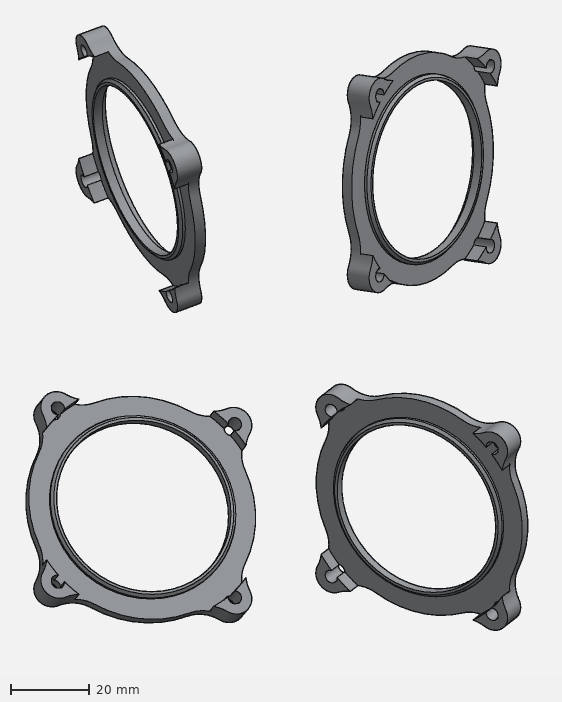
import cadquery as cq
import math

rim_radius = 29.95
bore_diameter = 46.0
plate_thickness = 3.0

total_depth = 7.0
hole_offset = 23.35
hole_diameter = 3.5
lug_radius = 4.5
blend_radius = 9.9
pad_inner_radius = 31.75

lip_diameter = 49.0
lip_height = 1.5
lip_chamfer = 0.75

recess_diameter = 50.0
recess_depth = 2.0

lug_distance = hole_offset * math.sqrt(2)
lug_angles = (45, 135, 225, 315)


def polar(radius, angle, center=(0, 0)):
    """Point at a radius and an angle in degrees around a center."""
    a = math.radians(angle)
    return (center[0] + radius * math.cos(a), center[1] + radius * math.sin(a))


def cylinder(diameter, height):
    return cq.Workplane("XZ").circle(diameter / 2).extrude(height)


def outline():
    """Rim arcs joined to the round lugs by tangent concave blends."""
    blend_distance = rim_radius + blend_radius
    lug_to_blend = lug_radius + blend_radius
    spread = math.degrees(math.acos(
        (blend_distance**2 + lug_distance**2 - lug_to_blend**2)
        / (2 * blend_distance * lug_distance)
    ))
    wire = cq.Workplane("XZ").moveTo(*polar(rim_radius, lug_angles[0] - spread))
    for angle in lug_angles:
        lug = polar(lug_distance, angle)
        before = polar(blend_distance, angle - spread)
        after = polar(blend_distance, angle + spread)
        toward_blend = math.degrees(math.atan2(after[1] - lug[1], after[0] - lug[0]))
        half_turn = (toward_blend - angle) % 360
        lug_start = polar(lug_radius, angle - half_turn, lug)
        lug_end = polar(lug_radius, angle + half_turn, lug)
        blend_middle = (spread + 180 + half_turn + 180) / 2
        wire = (
            wire.threePointArc(polar(blend_radius, angle - blend_middle, before), lug_start)
            .threePointArc(polar(lug_distance + lug_radius, angle), lug_end)
            .threePointArc(polar(blend_radius, angle + blend_middle, after),
                           polar(rim_radius, angle + spread))
            .threePointArc(polar(rim_radius, angle + 45),
                           polar(rim_radius, angle + 90 - spread))
        )
    return wire.close()


plate = outline().extrude(plate_thickness)

pads = outline().extrude(total_depth).cut(cylinder(2 * pad_inner_radius, total_depth))

lip = cylinder(lip_diameter, plate_thickness + lip_height).faces("<Y").chamfer(lip_chamfer)

holes = (
    cq.Workplane("XZ")
    .rect(2 * hole_offset, 2 * hole_offset, forConstruction=True)
    .vertices()
    .circle(hole_diameter / 2)
    .extrude(total_depth)
)

bore = cylinder(bore_diameter, total_depth)
recess = cylinder(recess_diameter, recess_depth)

result = plate.union(pads).union(lip).cut(bore).cut(recess).cut(holes)